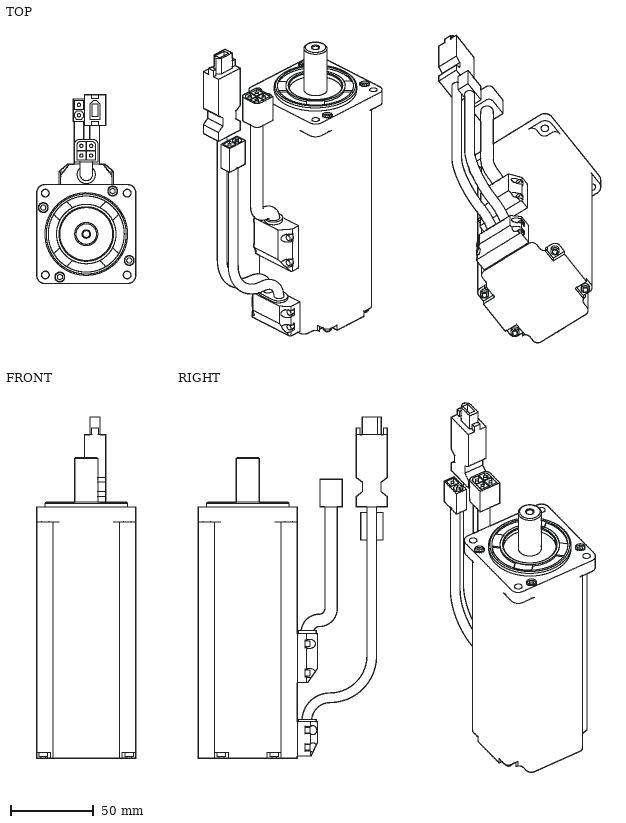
import cadquery as cq
import math

width = 60.0
half_width = width / 2
mount_z = 152.0
flange_thickness = 9.0
flange_corner_radius = 5.0
flange_bottom_z = mount_z - flange_thickness

flute_depth = 10.0
flute_lip_radius = 3.5
flute_root_radius = 3.3

bolt_circle_diameter = 70.0
bolt_hole_diameter = 4.5
screw_recess_diameter = 6.0
screw_recess_depth = 4.0
screw_head_diameter = 5.5
screw_head_height = 3.0
screw_near = 16.0
screw_far = 26.0
socket_width = 3.0
socket_depth = 2.0

rear_notch_inner_x = 21.7
rear_notch_inner_y = 11.6
rear_notch_height = 3.5
rear_head_diameter = 5.0
rear_head_bottom_z = 1.2
rear_tip_diameter = 3.0

pilot_diameter = 50.0
pilot_height = 3.0
pilot_chamfer = 0.8
groove_outer_diameter = 46.0
groove_inner_diameter = 36.0
groove_depth = 1.2
pad_drop = 0.3
pad_width = 11.0
seal_bore_diameter = 32.0
seal_bore_depth = 3.0
seal_bore_chamfer = 0.5
shaft_diameter = 14.0
shaft_length = 30.0
shaft_chamfer = 0.8
shaft_hole_diameter = 4.13
shaft_hole_depth = 12.0
shaft_hole_chamfer = 0.5

pilot_top_z = mount_z + pilot_height

clamp_outer_y = 42.3
clamp_screw_diameter = 5.5
clamp_screw_floor_y = 34.7
clamp_head_diameter = 3.4
clamp_head_top_y = 37.5

power_clamp_bottom_z = 45.7
power_clamp_top_z = 75.4
power_clamp_half_width = 15.5
power_clamp_side_y = 35.5
power_clamp_front_half_width = 10.2
power_clamp_slope_z = 54.5
power_clamp_slope_y = 36.3
power_clamp_screw_x = 14.0
power_clamp_screw_heights = (51.6, 69.2)
signal_clamp_bottom_z = 1.3
signal_clamp_top_z = 22.2
signal_clamp_half_width = 16.5
signal_clamp_side_y = 37.8
signal_clamp_front_half_width = 11.3
signal_clamp_slope_z = 9.8
signal_clamp_slope_y = 38.3
signal_clamp_screw_x = 14.7
signal_clamp_screw_heights = (6.6, 17.0)

gland_diameter = 10.98
gland_y = 36.0
power_gland_height = 1.9
signal_gland_height = 1.4

power_cable_diameter = 7.6
power_bend_radius = 7.2
power_bend_start_z = 76.2

signal_cable_diameter = 6.0
signal_lower_bend_radius = 14.0
signal_upper_bend_radius = 25.3
signal_bend_start_z = 22.6
signal_cable_y = 35.7
brake_cable_x = -4.4
encoder_cable_x = 5.05

power_plug_width = 14.2
power_plug_length = 13.6
power_plug_bottom_z = 152.0
power_plug_top_z = 168.8
power_plug_corner_radius = 3.0
power_cell_pitch = 5.9

brake_plug_width = 7.2
brake_plug_length = 13.6
brake_plug_bottom_z = 131.9
brake_plug_top_z = 148.7
brake_plug_y = 75.0
brake_cell_pitch = 6.3

cell_size = 5.4
cell_chamfer = 1.5
cell_depth = 5.0
pin_diameter = 2.0

encoder_plug_width = 13.0
encoder_plug_depth = 18.8
encoder_plug_y = 75.0
encoder_plug_x = 5.3
encoder_plug_bottom_z = 152.0
encoder_plug_top_z = 195.7
encoder_waist_half_depth = 5.7
encoder_foot_top_z = 158.3
encoder_waist_bottom_z = 161.3
encoder_waist_top_z = 167.0
encoder_shoulder_z = 169.7
nose_top_z = 206.5
nose_width = 6.2
nose_depth = 11.6
nose_chamfer = 2.2
nose_pocket_width = 3.6
nose_pocket_depth = 7.6
nose_pocket_height = 6.0
latch_width = 4.2
latch_thickness = 2.4
latch_top_z = 199.9


def box(x_min, x_max, y_min, y_max, z_min, z_max):
    """Axis-aligned block between two opposite corners."""
    size = (x_max - x_min, y_max - y_min, z_max - z_min)
    return cq.Workplane("XY").box(*size, centered=False).translate((x_min, y_min, z_min))


def cylinder(diameter, x, y, z_min, z_max):
    """Upright cylinder."""
    return cq.Workplane("XY", origin=(x, y, z_min)).circle(diameter / 2).extrude(z_max - z_min)


def ring(outer_diameter, inner_diameter, z_min, z_max):
    """Ring around the shaft axis."""
    sketch = cq.Workplane("XY", origin=(0, 0, z_min)).circle(outer_diameter / 2).circle(inner_diameter / 2)
    return sketch.extrude(z_max - z_min)


def countersink(diameter, chamfer, top_z):
    """Cone that bevels the mouth of a hole on the shaft axis."""
    mouth = cq.Workplane("XY", origin=(0, 0, top_z)).circle(diameter / 2 + chamfer)
    return mouth.workplane(offset=-chamfer).circle(diameter / 2).loft()


def corner_flute():
    """Stepped flute removed from the (+X, +Y) edge of the housing."""
    step = half_width - flute_depth
    lip_start = step - flute_lip_radius
    lip_flat = half_width - flute_lip_radius
    root_flat = step + flute_root_radius
    lip_mid = flute_lip_radius * math.sqrt(0.5)
    root_mid = root_flat - flute_root_radius * math.sqrt(0.5)
    outline = (
        cq.Workplane("XY")
        .moveTo(lip_start, half_width)
        .threePointArc((lip_start + lip_mid, lip_flat + lip_mid), (step, lip_flat))
        .lineTo(step, root_flat)
        .threePointArc((root_mid, root_mid), (root_flat, step))
        .lineTo(lip_flat, step)
        .threePointArc((lip_flat + lip_mid, lip_start + lip_mid), (half_width, lip_start))
        .lineTo(half_width, half_width)
        .close()
    )
    return outline.extrude(flange_bottom_z)


def make_housing():
    """Square housing with fluted edges, rear screw notches and mounting flange."""
    housing = cq.Workplane("XY").rect(width, width).extrude(flange_bottom_z)
    flute = corner_flute()
    for quarter in range(4):
        housing = housing.cut(flute.rotate((0, 0, 0), (0, 0, 1), 90 * quarter))

    flute_face = half_width - flute_depth
    for side_x in (-1, 1):
        for side_y in (-1, 1):
            x_limits = sorted((side_x * rear_notch_inner_x, side_x * half_width))
            y_limits = sorted((side_y * rear_notch_inner_y, side_y * flute_face))
            screw_x = side_x * screw_far
            screw_y = side_y * screw_near
            housing = housing.cut(box(*x_limits, *y_limits, 0, rear_notch_height))
            housing = housing.union(
                cylinder(rear_head_diameter, screw_x, screw_y, rear_head_bottom_z, rear_notch_height)
            )
            housing = housing.union(cylinder(rear_tip_diameter, screw_x, screw_y, 0, rear_head_bottom_z))

    flange = (
        cq.Workplane("XY", origin=(0, 0, flange_bottom_z))
        .rect(width, width)
        .extrude(flange_thickness)
        .edges("|Z")
        .fillet(flange_corner_radius)
    )
    bolt_pitch = bolt_circle_diameter * math.sqrt(0.5)
    flange = (
        flange.faces(">Z")
        .workplane()
        .rect(bolt_pitch, bolt_pitch, forConstruction=True)
        .vertices()
        .hole(bolt_hole_diameter)
    )
    return housing.union(flange)


def add_flange_screws(body):
    """Four sunk socket screws, placed in a pinwheel round the flange."""
    recess_floor = mount_z - screw_recess_depth
    head_top = recess_floor + screw_head_height
    recess = cylinder(screw_recess_diameter, screw_near, screw_far, recess_floor, mount_z)
    head = cylinder(screw_head_diameter, screw_near, screw_far, recess_floor, head_top)
    socket = (
        cq.Workplane("XY", origin=(screw_near, screw_far, head_top))
        .polygon(6, socket_width, circumscribed=True)
        .extrude(-socket_depth)
    )
    recess = recess.cut(head.cut(socket))
    for quarter in range(4):
        body = body.cut(recess.rotate((0, 0, 0), (0, 0, 1), 90 * quarter))
    return body


def add_pilot_and_shaft(body):
    """Centring pilot with an annular groove, seal bore and plain shaft."""
    pilot = cylinder(pilot_diameter, 0, 0, mount_z, pilot_top_z).faces(">Z").edges().chamfer(pilot_chamfer)
    groove_floor = pilot_top_z - groove_depth
    pilot = pilot.cut(ring(groove_outer_diameter, groove_inner_diameter, groove_floor, pilot_top_z))

    pad_top = pilot_top_z - pad_drop
    strip = cq.Workplane("XY", origin=(0, 0, groove_floor)).rect(groove_outer_diameter, pad_width)
    strip = strip.extrude(pad_top - groove_floor)
    pad_ring = ring(groove_outer_diameter, groove_inner_diameter, groove_floor, pad_top)
    for diagonal_angle in (45, 135):
        pilot = pilot.union(pad_ring.intersect(strip.rotate((0, 0, 0), (0, 0, 1), diagonal_angle)))

    seal_floor = pilot_top_z - seal_bore_depth
    bore = cylinder(seal_bore_diameter, 0, 0, seal_floor, pilot_top_z)
    bore = bore.union(countersink(seal_bore_diameter, seal_bore_chamfer, pilot_top_z))
    body = body.union(pilot).cut(bore)

    shaft_top = mount_z + shaft_length
    shaft = cylinder(shaft_diameter, 0, 0, seal_floor, shaft_top).faces(">Z").edges().chamfer(shaft_chamfer)
    shaft = shaft.cut(cylinder(shaft_hole_diameter, 0, 0, shaft_top - shaft_hole_depth, shaft_top))
    shaft = shaft.cut(countersink(shaft_hole_diameter, shaft_hole_chamfer, shaft_top))
    return body.union(shaft)


def make_clamp(half_x, side_y, front_half_x, z_min, z_max, slope_z, slope_y, screw_x, screw_heights):
    """Cable clamp on the +Y face: bevelled sides, sloped lower front, screws along Y.

    The sides are flat out to side_y, then bevel in to front_half_x on the front.
    The lower front slopes from slope_z on the front back to slope_y at the bottom.
    """
    plan = [
        (-half_x, half_width),
        (half_x, half_width),
        (half_x, side_y),
        (front_half_x, clamp_outer_y),
        (-front_half_x, clamp_outer_y),
        (-half_x, side_y),
    ]
    clamp = cq.Workplane("XY", origin=(0, 0, z_min)).polyline(plan).close().extrude(z_max - z_min)
    wedge = (
        cq.Workplane("YZ")
        .polyline([(clamp_outer_y, slope_z), (slope_y, z_min), (clamp_outer_y, z_min)])
        .close()
        .extrude(half_x, both=True)
    )
    clamp = clamp.cut(wedge)
    for x in (-screw_x, screw_x):
        for z in screw_heights:
            floor = cq.Workplane("XZ", origin=(x, clamp_screw_floor_y, z))
            recess = floor.circle(clamp_screw_diameter / 2).extrude(clamp_screw_floor_y - clamp_outer_y)
            head = floor.circle(clamp_head_diameter / 2).extrude(clamp_screw_floor_y - clamp_head_top_y)
            clamp = clamp.cut(recess).union(head)
    return clamp


def make_power_clamp():
    """Upper clamp with its round gland."""
    clamp = make_clamp(
        half_x=power_clamp_half_width,
        side_y=power_clamp_side_y,
        front_half_x=power_clamp_front_half_width,
        z_min=power_clamp_bottom_z,
        z_max=power_clamp_top_z,
        slope_z=power_clamp_slope_z,
        slope_y=power_clamp_slope_y,
        screw_x=power_clamp_screw_x,
        screw_heights=power_clamp_screw_heights,
    )
    gland_top = power_clamp_top_z + power_gland_height
    return clamp.union(cylinder(gland_diameter, 0, gland_y, power_clamp_top_z, gland_top))


def make_signal_clamp():
    """Lower clamp with an oblong gland for the two signal cables."""
    clamp = make_clamp(
        half_x=signal_clamp_half_width,
        side_y=signal_clamp_side_y,
        front_half_x=signal_clamp_front_half_width,
        z_min=signal_clamp_bottom_z,
        z_max=signal_clamp_top_z,
        slope_z=signal_clamp_slope_z,
        slope_y=signal_clamp_slope_y,
        screw_x=signal_clamp_screw_x,
        screw_heights=signal_clamp_screw_heights,
    )
    gland_x = (brake_cable_x + encoder_cable_x) / 2
    gland_length = encoder_cable_x - brake_cable_x + gland_diameter
    gland = (
        cq.Workplane("XY", origin=(gland_x, gland_y, signal_clamp_top_z))
        .slot2D(gland_length, gland_diameter)
        .extrude(signal_gland_height)
    )
    return clamp.union(gland)


def make_cable(diameter, x, y, z, lower_radius, upper_radius, end_z):
    """Cable rising from a gland, swinging out in an S of two quarter bends, then straight up."""
    lower_mid = lower_radius * (1 - math.sqrt(0.5))
    upper_mid = upper_radius * (1 - math.sqrt(0.5))
    middle_y = y + lower_radius
    middle_z = z + lower_radius
    outer_y = middle_y + upper_radius
    path = (
        cq.Workplane("YZ", origin=(x, 0, 0))
        .moveTo(y, z)
        .threePointArc((y + lower_mid, middle_z - lower_mid), (middle_y, middle_z))
        .threePointArc((outer_y - upper_mid, middle_z + upper_mid), (outer_y, middle_z + upper_radius))
        .lineTo(outer_y, end_z)
    )
    return cq.Workplane("XY", origin=(x, y, z)).circle(diameter / 2).sweep(path)


def terminal_cell(x, y, top_z, chamfered_edges=None):
    """Void of one connector cell, with its contact pin left standing."""
    half = cell_size / 2
    void = box(x - half, x + half, y - half, y + half, top_z - cell_depth, top_z)
    if chamfered_edges:
        void = void.edges(chamfered_edges).chamfer(cell_chamfer)
    return void.cut(cylinder(pin_diameter, x, y, top_z - cell_depth, top_z))


def make_power_plug():
    """Four-way plug with two rounded edges."""
    centre_y = gland_y + 2 * power_bend_radius
    half_x = power_plug_width / 2
    half_y = power_plug_length / 2
    y_limits = (centre_y - half_y, centre_y + half_y)
    plug = box(-half_x, half_x, *y_limits, power_plug_bottom_z, power_plug_top_z)
    plug = plug.edges("|Z and >Y").fillet(power_plug_corner_radius)
    offset = power_cell_pitch / 2
    for x, outer_edge in ((-offset, "<X"), (offset, ">X")):
        plug = plug.cut(terminal_cell(x, centre_y - offset, power_plug_top_z))
        plug = plug.cut(terminal_cell(x, centre_y + offset, power_plug_top_z, f"|Z and >Y and {outer_edge}"))
    return plug


def make_brake_plug():
    """Two-way plug: one square cell and one cell with all edges bevelled."""
    half_x = brake_plug_width / 2
    half_y = brake_plug_length / 2
    plug = box(
        brake_cable_x - half_x,
        brake_cable_x + half_x,
        brake_plug_y - half_y,
        brake_plug_y + half_y,
        brake_plug_bottom_z,
        brake_plug_top_z,
    )
    offset = brake_cell_pitch / 2
    plug = plug.cut(terminal_cell(brake_cable_x, brake_plug_y + offset, brake_plug_top_z))
    return plug.cut(terminal_cell(brake_cable_x, brake_plug_y - offset, brake_plug_top_z, "|Z"))


def make_encoder_plug():
    """Flat waisted plug with a hollow nose and two latches."""
    half_depth = encoder_plug_depth / 2
    right_side = [
        (half_depth, encoder_plug_bottom_z),
        (half_depth, encoder_foot_top_z),
        (encoder_waist_half_depth, encoder_waist_bottom_z),
        (encoder_waist_half_depth, encoder_waist_top_z),
        (half_depth, encoder_shoulder_z),
        (half_depth, encoder_plug_top_z),
    ]
    left_side = [(-y, z) for y, z in reversed(right_side)]
    plug = (
        cq.Workplane("YZ", origin=(encoder_plug_x, encoder_plug_y, 0))
        .polyline(right_side + left_side)
        .close()
        .extrude(encoder_plug_width / 2, both=True)
    )

    nose = (
        cq.Workplane("XY", origin=(encoder_plug_x, encoder_plug_y, encoder_plug_top_z))
        .rect(nose_width, nose_depth)
        .extrude(nose_top_z - encoder_plug_top_z)
        .edges("|Z and >Y")
        .chamfer(nose_chamfer)
    )
    pocket = (
        cq.Workplane("XY", origin=(encoder_plug_x, encoder_plug_y, nose_top_z))
        .rect(nose_pocket_width, nose_pocket_depth)
        .extrude(-nose_pocket_height)
    )
    plug = plug.union(nose.cut(pocket))

    latch_offset = half_depth - latch_thickness / 2
    for y in (encoder_plug_y - latch_offset, encoder_plug_y + latch_offset):
        latch = (
            cq.Workplane("XY", origin=(encoder_plug_x, y, encoder_plug_top_z))
            .rect(latch_width, latch_thickness)
            .extrude(latch_top_z - encoder_plug_top_z)
        )
        plug = plug.union(latch)
    return plug


def make_signal_cable(x, end_z):
    """One of the two thin cables leaving the lower clamp."""
    return make_cable(
        signal_cable_diameter,
        x,
        signal_cable_y,
        signal_bend_start_z,
        signal_lower_bend_radius,
        signal_upper_bend_radius,
        end_z,
    )


power_cable = make_cable(
    power_cable_diameter,
    0,
    gland_y,
    power_bend_start_z,
    power_bend_radius,
    power_bend_radius,
    power_plug_bottom_z,
)

result = add_pilot_and_shaft(add_flange_screws(make_housing()))
attachments = (
    make_power_clamp(),
    power_cable,
    make_power_plug(),
    make_signal_clamp(),
    make_signal_cable(brake_cable_x, brake_plug_bottom_z),
    make_brake_plug(),
    make_signal_cable(encoder_cable_x, encoder_plug_bottom_z),
    make_encoder_plug(),
)
for attachment in attachments:
    result = result.union(attachment)